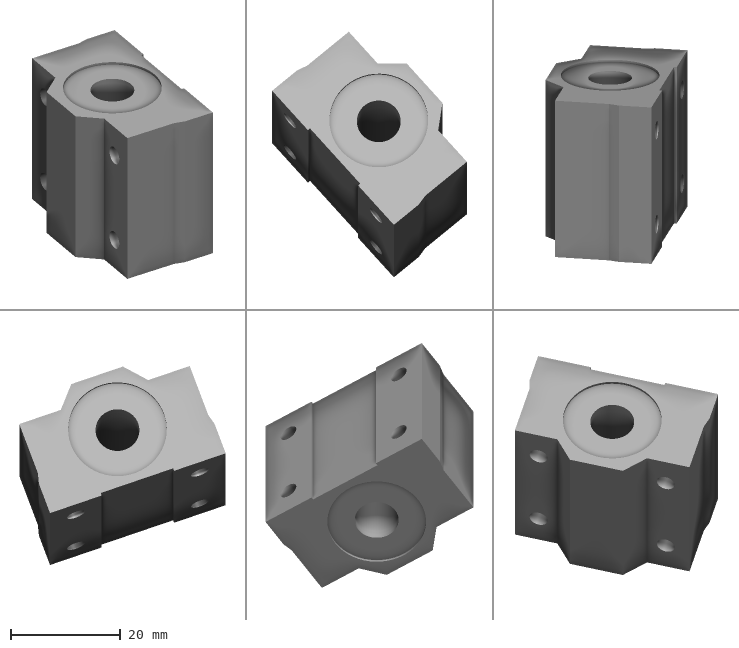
import cadquery as cq

WIDTH = 34.0
DEPTH = 22.0
HEIGHT = 30.0

SIDE_STEP = 0.5
STEP_START = 6.0
STEP_END = 8.0
FLANGE_DEPTH = 18.0
NOSE_BASE_WIDTH = 16.93
NOSE_TIP_WIDTH = 10.0

RELIEF_WIDTH = 14.0
RELIEF_DEPTH = 0.5

BORE_DIAMETER = 8.0
RECESS_DIAMETER = 18.0
RECESS_DEPTH = 0.5

HOLE_DIAMETER = 3.4
HOLE_SPACING_X = 24.0
HOLE_SPACING_Z = 18.0

BACK_Y = DEPTH / 2
FRONT_Y = -DEPTH / 2


def make_body():
    """Extrude the outline, which is mirrored about the YZ plane."""
    inner_half_width = WIDTH / 2 - SIDE_STEP
    right_half = [
        (RELIEF_WIDTH / 2, BACK_Y - RELIEF_DEPTH),
        (RELIEF_WIDTH / 2, BACK_Y),
        (WIDTH / 2, BACK_Y),
        (WIDTH / 2, BACK_Y - STEP_START),
        (inner_half_width, BACK_Y - STEP_END),
        (inner_half_width, BACK_Y - FLANGE_DEPTH),
        (NOSE_BASE_WIDTH / 2, BACK_Y - FLANGE_DEPTH),
        (NOSE_TIP_WIDTH / 2, FRONT_Y),
    ]
    left_half = [(-x, y) for x, y in reversed(right_half)]
    outline = cq.Workplane("XY").polyline(right_half + left_half).close()
    return outline.extrude(HEIGHT / 2, both=True)


def make_bore():
    """Through bore along Z with a shallow recess sunk into both end faces."""
    bore = cq.Workplane("XY").circle(BORE_DIAMETER / 2).extrude(HEIGHT / 2, both=True)
    recess_floor = HEIGHT / 2 - RECESS_DEPTH
    top_recess = (
        cq.Workplane("XY")
        .workplane(offset=recess_floor)
        .circle(RECESS_DIAMETER / 2)
        .extrude(RECESS_DEPTH)
    )
    return bore.union(top_recess).union(top_recess.mirror("XY"))


def make_mounting_holes():
    """Four plain holes along Y, in a rectangle centred on the block."""
    return (
        cq.Workplane("XZ")
        .rarray(HOLE_SPACING_X, HOLE_SPACING_Z, 2, 2)
        .circle(HOLE_DIAMETER / 2)
        .extrude(DEPTH / 2, both=True)
    )


result = make_body().cut(make_bore()).cut(make_mounting_holes())